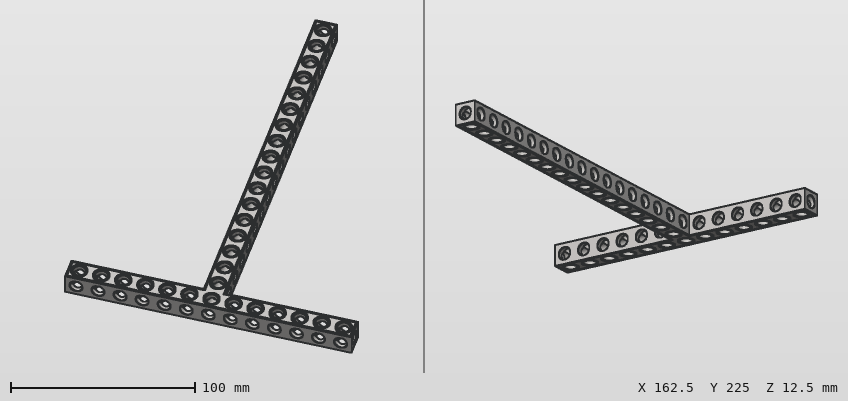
import cadquery as cq

stem_reach = 225.0
stem_cells = 18
crossbar_cells = 13
pitch = stem_reach / stem_cells
half_pitch = pitch / 2
crossbar_length = crossbar_cells * pitch

edge_bevel = 0.25

rim_width = 1.01
recess_depth = 0.25

hole_diameter = 7.0
hole_bevel = 0.3
ring_diameter = 9.2

crossbar_positions = [(i - (crossbar_cells - 1) / 2) * pitch for i in range(crossbar_cells)]
stem_positions = [i * pitch for i in range(stem_cells)]
crossbar_end = crossbar_length / 2
stem_end = stem_reach - half_pitch
vertical_hole_points = [(x, 0) for x in crossbar_positions] + [(0, y) for y in stem_positions[1:]]


def tee(inset, thickness):
    """T-shaped plate centred on Z = 0, its outline pulled in by the inset."""
    bar_width = pitch - 2 * inset
    crossbar = cq.Workplane("XY").box(crossbar_length - 2 * inset, bar_width, thickness)
    stem = cq.Workplane("XY").box(bar_width, stem_reach - 2 * inset, thickness)
    return crossbar.union(stem.translate((0, stem_reach / 2 - half_pitch, 0)))


def recess():
    """Recess for one face, with the rings around the holes left uncut."""
    rings = (
        cq.Workplane("XY")
        .pushPoints(vertical_hole_points)
        .circle(ring_diameter / 2)
        .extrude(recess_depth / 2, both=True)
    )
    return tee(rim_width, recess_depth).cut(rings)


def bevelled_hole(start, end, direction):
    """Cutter for a through hole from start to end, widened by a bevel at both mouths."""
    first_point = cq.Vector(*start)
    last_point = cq.Vector(*end)
    axis = cq.Vector(*direction)
    length = (last_point - first_point).Length
    radius = hole_diameter / 2
    mouth_radius = radius + hole_bevel
    bore = cq.Solid.makeCylinder(radius, length, first_point, axis)
    first_mouth = cq.Solid.makeCone(mouth_radius, radius, hole_bevel, first_point, axis)
    last_mouth = cq.Solid.makeCone(mouth_radius, radius, hole_bevel, last_point, axis * -1)
    return bore.fuse(first_mouth, last_mouth)


body = tee(0, pitch).faces("<Z or >Z").edges().chamfer(edge_bevel)
recess_height = half_pitch - recess_depth / 2
for height in (recess_height, -recess_height):
    body = body.cut(recess().translate((0, 0, height)))

for x, y in vertical_hole_points:
    body = body.cut(cq.Workplane(bevelled_hole((x, y, -half_pitch), (x, y, half_pitch), (0, 0, 1))))

for x in crossbar_positions:
    back = stem_end if x == 0 else half_pitch
    body = body.cut(cq.Workplane(bevelled_hole((x, -half_pitch, 0), (x, back, 0), (0, 1, 0))))

for y in stem_positions:
    side = crossbar_end if y == 0 else half_pitch
    body = body.cut(cq.Workplane(bevelled_hole((-side, y, 0), (side, y, 0), (1, 0, 0))))

result = body.solids()